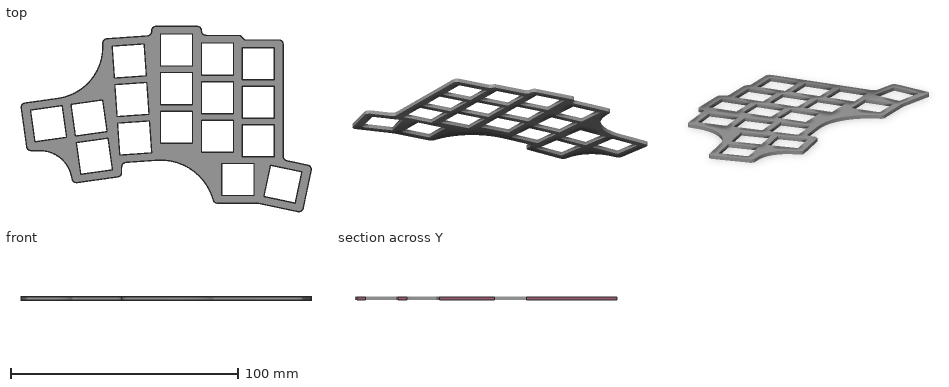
import cadquery as cq
import math

thickness = 1.6
cutout_side = 14.0
pitch_x = 18.0
pitch_y = 17.0
rim = 2.0
corner_radius = 2.0

reach_x = pitch_x / 2 + rim
reach_y = pitch_y / 2 + rim

tall_column = (4.545, 13.385)
ring_drop = 4.0
right_drop = 2.0

index_tilt = 4.0
index_offset = (-19.65, -4.785)
outer_tilt = 2 * index_tilt
outer_offset = (-18.9, -8.15)

thumb_tilt = -12.0
tilted_thumb_offset = (19.81, -2.082)

upper_left_sweep_radius = 22.75
lower_left_sweep_radius = 14.0
lower_left_lean = 13.0
thumb_sweep_radius = 23.9
thumb_lean = 17.0
thumb_corner_inset = 0.55

lower_step_x = -19.6

touching = 1e-6


def shifted(point, offset):
    return (point[0] + offset[0], point[1] + offset[1])


def placed(key, dx, dy):
    """Point at (dx, dy) in the tilted frame of a key (x, y, tilt)."""
    x, y, tilt = key
    angle = math.radians(tilt)
    return (
        x + dx * math.cos(angle) - dy * math.sin(angle),
        y + dx * math.sin(angle) + dy * math.cos(angle),
    )


def neighbour(key, columns, rows):
    """Key a whole number of pitches away in the same tilted grid."""
    return (*placed(key, columns * pitch_x, rows * pitch_y), key[2])


def frame_corner(key, side_x, side_y):
    """Sharp outline corner beside a key; the sides are -1 or +1."""
    return placed(key, side_x * reach_x, side_y * reach_y)


def height_on_edge(key, side_y, x):
    """Y of a key's upper (+1) or lower (-1) outline edge at a given X."""
    edge_x, edge_y = placed(key, 0, side_y * reach_y)
    return edge_y + (x - edge_x) * math.tan(math.radians(key[2]))


def leaning_side_top(foot, lean, key, side_y):
    """Where a side rising from foot, leaning left, meets the line of a key's outline edge."""
    lean_slope = math.tan(math.radians(lean))
    edge_slope = math.tan(math.radians(key[2]))
    rise = (height_on_edge(key, side_y, foot[0]) - foot[1]) / (1 + edge_slope * lean_slope)
    return (foot[0] - rise * lean_slope, foot[1] + rise)


def rounded_polygon(corners):
    """Closed wire through (point, radius) corners, each rounded by a tangent arc."""
    wire = None
    previous_end = None
    for i, (point, radius) in enumerate(corners):
        here = cq.Vector(*point)
        back = (cq.Vector(*corners[i - 1][0]) - here).normalized()
        ahead = (cq.Vector(*corners[(i + 1) % len(corners)][0]) - here).normalized()
        half_angle = back.getAngle(ahead) / 2
        setback = radius / math.tan(half_angle)
        start = here + back * setback
        end = here + ahead * setback
        if wire is None:
            wire = cq.Workplane("XY").moveTo(start.x, start.y)
        elif (start - previous_end).Length > touching:
            wire = wire.lineTo(start.x, start.y)
        if radius > 0:
            arc_gap = radius / math.sin(half_angle) - radius
            middle = here + (back + ahead).normalized() * arc_gap
            wire = wire.threePointArc((middle.x, middle.y), (end.x, end.y))
        previous_end = end
    return wire.close()


tall_key = (*tall_column, 0)
ring_key = (*shifted(tall_column, (pitch_x, -ring_drop)), 0)
right_key = (*shifted(ring_key, (pitch_x, -right_drop)), 0)
index_key = (*shifted(tall_column, index_offset), index_tilt)
outer_key = (*shifted(index_key, outer_offset), outer_tilt)
lower_outer_key = neighbour(outer_key, 0, -1)
end_key = neighbour(outer_key, -1, 0)
thumb_key = neighbour(right_key, -0.5, -2)
tilted_thumb_key = (*shifted(thumb_key, tilted_thumb_offset), thumb_tilt)

column_keys = [
    neighbour(key, 0, row)
    for key in (index_key, tall_key, ring_key, right_key)
    for row in (-1, 0, 1)
]
keys = column_keys + [outer_key, lower_outer_key, end_key, thumb_key, tilted_thumb_key]


def plate_corners():
    """Outline corners, clockwise from the upper left of the index column."""
    index_top = neighbour(index_key, 0, 1)
    index_bottom = neighbour(index_key, 0, -1)
    tall_top = neighbour(tall_key, 0, 1)

    index_corner = frame_corner(index_top, -1, 1)
    tall_left, tall_top_y = frame_corner(tall_top, -1, 1)
    tall_right = tall_key[0] + reach_x
    ring_right = ring_key[0] + reach_x
    ring_top_y = ring_key[1] + pitch_y + reach_y
    right_edge, right_top_y = frame_corner(neighbour(right_key, 0, 1), 1, 1)

    ramp_start = (ring_right - right_drop / 2, ring_top_y)
    ramp_end = (ring_right + right_drop / 2, right_top_y)

    thumb_left, thumb_bottom = frame_corner(thumb_key, -1, -1)
    thumb_corner = (thumb_left + thumb_corner_inset, thumb_bottom)
    bend_x = thumb_key[0] + pitch_x / 2 + rim * math.tan(math.radians(thumb_tilt / 2))

    outer_corner = frame_corner(lower_outer_key, -1, -1)
    end_corner = frame_corner(end_key, -1, -1)
    level_end_edge = (end_corner[0], end_corner[1] + reach_y, 0)

    return [
        (index_corner, corner_radius),
        ((tall_left, height_on_edge(index_top, 1, tall_left)), corner_radius),
        ((tall_left, tall_top_y), corner_radius),
        ((tall_right, tall_top_y), corner_radius),
        ((tall_right, ring_top_y), corner_radius),
        (ramp_start, 0),
        (ramp_end, 0),
        ((right_edge, right_top_y), corner_radius),
        ((right_edge, height_on_edge(tilted_thumb_key, 1, right_edge)), corner_radius),
        (frame_corner(tilted_thumb_key, 1, 1), corner_radius),
        (frame_corner(tilted_thumb_key, 1, -1), corner_radius),
        ((bend_x, thumb_bottom), 0),
        (thumb_corner, corner_radius),
        (leaning_side_top(thumb_corner, thumb_lean, index_bottom, -1), thumb_sweep_radius),
        ((lower_step_x, height_on_edge(index_bottom, -1, lower_step_x)), corner_radius),
        ((lower_step_x, height_on_edge(lower_outer_key, -1, lower_step_x)), corner_radius),
        (outer_corner, corner_radius),
        (leaning_side_top(outer_corner, lower_left_lean, level_end_edge, -1), lower_left_sweep_radius),
        (end_corner, corner_radius),
        (frame_corner(end_key, -1, 1), corner_radius),
        ((index_corner[0], height_on_edge(end_key, 1, index_corner[0])), upper_left_sweep_radius),
    ]


def switch_cutout(key):
    x, y, tilt = key
    cutter = cq.Workplane("XY").rect(cutout_side, cutout_side).extrude(thickness)
    return cutter.rotate((0, 0, 0), (0, 0, 1), tilt).translate((x, y, 0))


result = rounded_polygon(plate_corners()).extrude(thickness)
for key in keys:
    result = result.cut(switch_cutout(key))